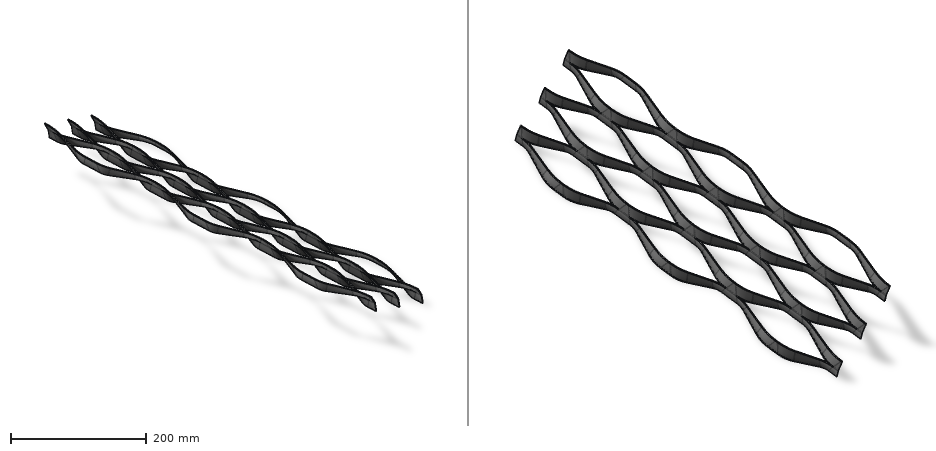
import cadquery as cq
import math

length = 600.0
height = 120.0
depth = 176.0
strand_count = 6
wave_count = 3
thickness = 2.0

half_wave = length / wave_count / 2
strand_height = height / strand_count
strand_pitch = (depth - thickness) / strand_count

trough_lean = 3.3
bottom_edge = {
    "swing": strand_pitch - trough_lean,
    "crest_half_flat": 23.0,
    "crest_radius": 60.0,
    "trough_half_flat": 21.5,
    "trough_radius": 30.0,
}
top_edge = {
    "swing": 20.0,
    "crest_half_flat": 17.0,
    "crest_radius": 96.0,
    "trough_half_flat": 21.5,
    "trough_radius": 72.0,
}


def bend_points(corner, radius, slope_angle, flat_side, bulge):
    """Start, middle and end of the arc that rounds a corner, in order of rising X.

    flat_side is -1 when the flat lies before the corner and +1 when it lies after it.
    bulge is +1 at a crest and -1 at a trough.
    """
    x, y = corner
    tangent = radius * math.tan(slope_angle / 2)
    centre_x = x + flat_side * tangent
    centre_y = y - bulge * radius
    points = []
    for turn in (0, slope_angle / 2, slope_angle):
        points.append((
            centre_x - flat_side * radius * math.sin(turn),
            centre_y + bulge * radius * math.cos(turn),
        ))
    return points if flat_side < 0 else points[::-1]


def half_wave_bends(edge, start_x, at_crest):
    """The two bends between one flat and the next."""
    crest_direction = 1 if at_crest else -1
    crest_middle = start_x if at_crest else start_x + half_wave
    trough_middle = start_x + half_wave if at_crest else start_x
    crest_corner = (crest_middle + crest_direction * edge["crest_half_flat"], edge["swing"])
    trough_corner = (trough_middle - crest_direction * edge["trough_half_flat"], 0)
    run = abs(trough_corner[0] - crest_corner[0])
    slope_angle = math.atan2(edge["swing"], run)
    crest_bend = bend_points(crest_corner, edge["crest_radius"], slope_angle, -crest_direction, 1)
    trough_bend = bend_points(trough_corner, edge["trough_radius"], slope_angle, crest_direction, -1)
    return [crest_bend, trough_bend] if at_crest else [trough_bend, crest_bend]


def edge_outline(edge, trough_y, z, starts_at_crest):
    """Closed outline of a strand's bottom or top edge, in the plane at height z."""
    bends = []
    for index in range(2 * wave_count):
        at_crest = starts_at_crest == (index % 2 == 0)
        bends += half_wave_bends(edge, index * half_wave, at_crest)
    start_y = edge["swing"] if starts_at_crest else 0

    outline = cq.Workplane(origin=(0, trough_y, z)).moveTo(0, start_y)
    for start, middle, end in bends:
        outline = outline.lineTo(*start).threePointArc(middle, end)
    outline = outline.lineTo(length, start_y).lineTo(length, start_y + thickness)
    for start, middle, end in reversed(bends):
        outline = outline.lineTo(end[0], end[1] + thickness)
        outline = outline.threePointArc(
            (middle[0], middle[1] + thickness), (start[0], start[1] + thickness)
        )
    return outline.lineTo(0, start_y + thickness).close().val()


def strand(index):
    """One wavy strand, counted from the lowest; its faces are ruled from bottom to top edge."""
    top_trough_y = -index * strand_pitch
    bottom_z = index * strand_height
    starts_at_crest = index % 2 == 1
    bottom = edge_outline(bottom_edge, top_trough_y + trough_lean, bottom_z, starts_at_crest)
    top = edge_outline(top_edge, top_trough_y, bottom_z + strand_height, starts_at_crest)
    return cq.Workplane(cq.Solid.makeLoft([bottom, top], True))


result = strand(0)
for strand_index in range(1, strand_count):
    result = result.union(strand(strand_index))